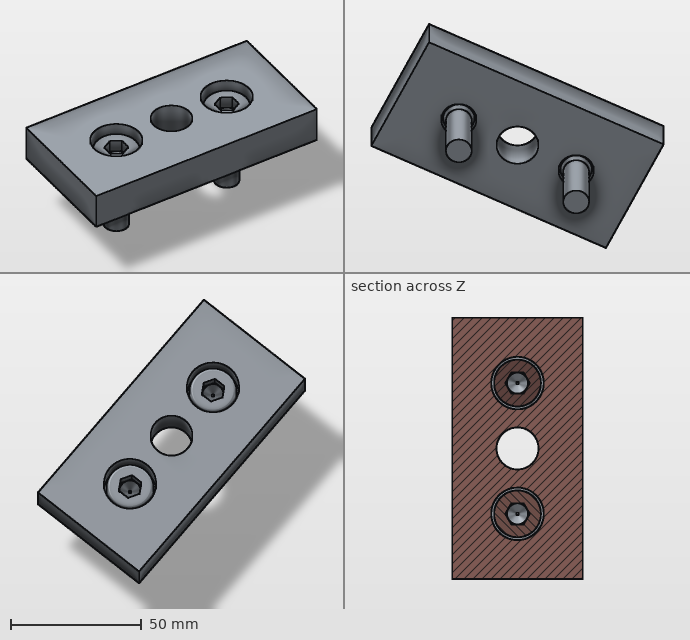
import cadquery as cq
import math

plate_width = 50.0
plate_length = 100.0
plate_thickness = 15.0
centre_hole_diameter = 16.0

screw_spacing = 50.0
screw_length = 30.0
screw_protrusion = 25.5
head_diameter = 18.0
head_height = 7.0
head_edge_radius = 1.2
shank_diameter = 12.0
thread_core_diameter = 9.85
thread_start = 5.25
taper_half_angle = 30.0

socket_across_flats = 8.0
socket_depth = 5.0
drill_point_angle = 120.0
drill_tip_diameter = 1.0

counterbore_diameter = 20.0
clearance_diameter = 13.5

head_seat_z = screw_length - screw_protrusion
head_top_z = head_seat_z + head_height
screw_positions = [(0, -screw_spacing / 2), (0, screw_spacing / 2)]


def make_plate():
    """Rectangular plate with a centre hole and two counterbored screw holes."""
    return (
        cq.Workplane("XY")
        .box(plate_width, plate_length, plate_thickness, centered=(True, True, False))
        .faces(">Z")
        .workplane()
        .hole(centre_hole_diameter)
        .pushPoints(screw_positions)
        .cboreHole(clearance_diameter, counterbore_diameter, plate_thickness - head_seat_z)
    )


def make_screw_blank():
    """Turned head, shank and thread core, revolved about the Z axis."""
    head_radius = head_diameter / 2
    shank_radius = shank_diameter / 2
    core_radius = thread_core_diameter / 2
    core_top_z = head_seat_z - thread_start
    taper_length = (shank_radius - core_radius) / math.tan(math.radians(taper_half_angle))
    blank = (
        cq.Workplane("XZ")
        .moveTo(0, -screw_protrusion)
        .lineTo(core_radius, -screw_protrusion)
        .lineTo(core_radius, core_top_z)
        .lineTo(shank_radius, core_top_z + taper_length)
        .lineTo(shank_radius, head_seat_z)
        .lineTo(head_radius, head_seat_z)
        .lineTo(head_radius, head_top_z)
        .lineTo(0, head_top_z)
        .close()
        .revolve(360, (0, 0), (0, 1))
    )
    return blank.faces(">Z").edges().fillet(head_edge_radius)


def make_socket():
    """Hexagonal recess whose floor runs down into a drill-point cone."""
    across_corners = socket_across_flats / math.cos(math.radians(30))
    floor_z = head_top_z - socket_depth
    cone_radius = socket_across_flats / 2
    tip_radius = drill_tip_diameter / 2
    cone_depth = (cone_radius - tip_radius) / math.tan(math.radians(drill_point_angle / 2))
    hexagon = (
        cq.Workplane("XY", origin=(0, 0, floor_z))
        .polygon(6, across_corners)
        .extrude(socket_depth)
    )
    drill_point = cq.Workplane(
        cq.Solid.makeCone(cone_radius, tip_radius, cone_depth, pnt=(0, 0, floor_z), dir=(0, 0, -1))
    )
    return hexagon.union(drill_point)


def make_screw(position):
    """One socket screw standing at the given XY position."""
    return make_screw_blank().cut(make_socket()).translate((*position, 0))


plate = make_plate()
screws = [make_screw(position) for position in screw_positions]

result = cq.Compound.makeCompound([plate.val(), *[screw.val() for screw in screws]])